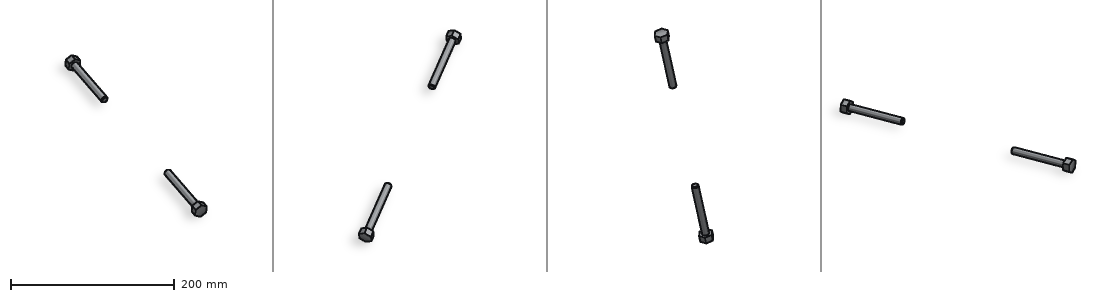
import cadquery as cq

overall_length = 320.0
head_across_corners = 18.2
head_thickness = 9.0
head_turn = 5.1
shank_diameter = 9.0
bolt_length = 83.5
tip_chamfer_length = 1.3
tip_chamfer_depth = 1.0

shank_radius = shank_diameter / 2
tip_radius = shank_radius - tip_chamfer_depth
chamfer_start = bolt_length - tip_chamfer_length
head_face_x = overall_length / 2


def make_head():
    """Hexagonal head growing along +X from the origin."""
    return (
        cq.Workplane("YZ")
        .polygon(6, head_across_corners)
        .extrude(head_thickness)
        .rotate((0, 0, 0), (1, 0, 0), 90 - head_turn)
    )


def make_shank():
    """Round shank along +X with a chamfered tip, starting at the outer head face."""
    return (
        cq.Workplane("XY")
        .lineTo(0, shank_radius)
        .lineTo(chamfer_start, shank_radius)
        .lineTo(bolt_length, tip_radius)
        .lineTo(bolt_length, 0)
        .close()
        .revolve(360, (0, 0, 0), (1, 0, 0))
    )


def make_bolt():
    """One bolt with its outer head face at the origin, pointing along +X."""
    return make_head().union(make_shank())


left_bolt = make_bolt().translate((-head_face_x, 0, 0))
bolts = []
for bolt in (left_bolt, left_bolt.mirror("YZ")):
    bolts.append(bolt.val())

result = cq.Compound.makeCompound(bolts)